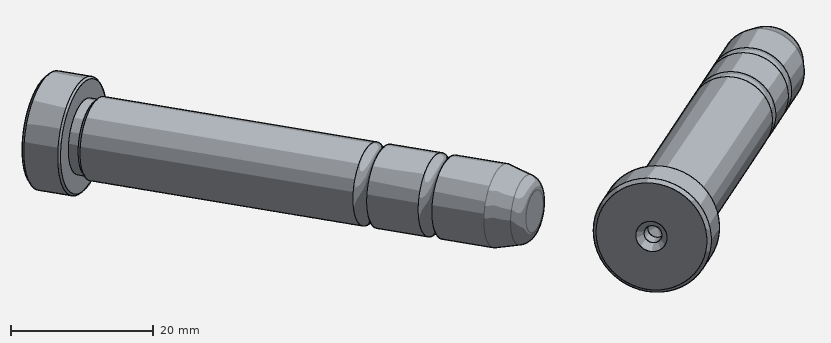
import cadquery as cq
import math

length = 75.0
head_diameter = 17.0
head_length = 6.0
head_front_chamfer = 0.5
head_back_chamfer = 0.3
shaft_radius = 6.0

neck_radius = 5.5
shaft_start = 8.0

groove_centers = (50.85, 60.8)
groove_width = 2.1
groove_depth = 0.7

taper_start = 69.8
taper_angle = 15.0
tip_fillet = 2.0

countersink_radius = 2.25
pilot_radius = 1.3
countersink_angle = 90.0
pilot_length = 2.25
drill_point_angle = 120.0


def cone_length(large_radius, small_radius, included_angle):
    """Axial length of a cone between two radii."""
    return (large_radius - small_radius) / math.tan(math.radians(included_angle / 2))


def revolve_about_x(profile):
    """Close a profile drawn in the XY plane and spin it around the X axis."""
    return profile.close().revolve(360, (0, 0, 0), (1, 0, 0))


def make_head():
    head = cq.Workplane("YZ").circle(head_diameter / 2).extrude(head_length)
    head = head.faces("<X").chamfer(head_front_chamfer)
    return head.faces(">X").chamfer(head_back_chamfer)


def make_shaft():
    neck_step = shaft_radius - neck_radius
    taper_drop = (length - taper_start) * math.tan(math.radians(taper_angle))
    profile = (
        cq.Workplane("XY")
        .moveTo(head_length / 2, 0)
        .lineTo(head_length / 2, neck_radius)
        .lineTo(shaft_start - neck_step, neck_radius)
        .lineTo(shaft_start, shaft_radius)
        .lineTo(taper_start, shaft_radius)
        .lineTo(length, shaft_radius - taper_drop)
        .lineTo(length, 0)
    )
    return revolve_about_x(profile).faces(">X").edges().fillet(tip_fillet)


def make_groove(center):
    """Ring with an arc-shaped section that cuts one groove."""
    profile = (
        cq.Workplane("XY")
        .moveTo(center - groove_width / 2, shaft_radius)
        .threePointArc(
            (center, shaft_radius - groove_depth),
            (center + groove_width / 2, shaft_radius),
        )
    )
    return revolve_about_x(profile)


def make_center_hole():
    pilot_start = cone_length(countersink_radius, pilot_radius, countersink_angle)
    pilot_end = pilot_start + pilot_length
    profile = (
        cq.Workplane("XY")
        .lineTo(0, countersink_radius)
        .lineTo(pilot_start, pilot_radius)
        .lineTo(pilot_end, pilot_radius)
        .lineTo(pilot_end + cone_length(pilot_radius, 0, drill_point_angle), 0)
    )
    return revolve_about_x(profile)


pin = make_head().union(make_shaft())
for groove_center in groove_centers:
    pin = pin.cut(make_groove(groove_center))

result = pin.cut(make_center_hole())